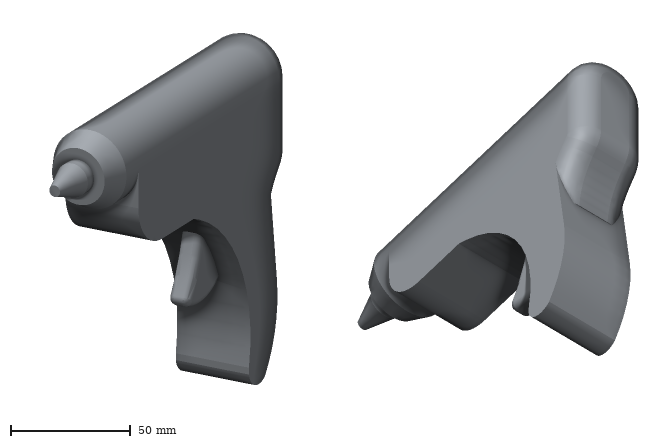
import cadquery as cq
import math

LENGTH = 170.0
WIDTH = 35.0
BARREL_RADIUS = WIDTH / 2
EDGE_ROUND = 10.0

BARREL_END = 140.0
NOSE_END = 150.0
NOSE_RADIUS = 12.5
COLLAR_END = 155.0
COLLAR_RADIUS = 7.5
TIP_RADIUS = 2.5

HOUSING_FRONT = 129.9
HOUSING_BOTTOM = -37.5
HOUSING_CORNER = -HOUSING_BOTTOM - BARREL_RADIUS

REAR_BOTTOM = -32.3
REAR_BEND_RADIUS = 13.1
REAR_BEND_ANGLE = math.radians(39.5)
SLOPE_LENGTH = 4.2
WEB_FOOT = (14.6, -66.8)
WEB_INSIDE = 30.6

GRIP_TOP_REAR = (18.0, -43.0)
GRIP_WAIST = (12.2, -87.9)
GRIP_HEEL = (22.3, -127.2)
GRIP_BOTTOM = (27.4, -129.2)
GRIP_TOE = (36.0, -122.2)
GRIP_FRONT_FOOT = (36.0, -119.2)
FINGER_ARC_MIDDLE = (40.1, -78.4)
FINGER_ARC_TOP = (78.2, -39.5)
BEND_END = 83.0

TRIGGER_WIDTH = 10.0
TRIGGER_ROUND = 3.0
TRIGGER_TIP_ROUND = 3.2
TRIGGER_TIP = (66.6, -84.5)
TRIGGER_HEEL = (37.4, -80.5)
TRIGGER_BOTTOM = (54.7, -87.5)
TRIGGER_FRONT = (58.5, -68.5)
TRIGGER_ROOT = (52.5, -45.0)
TRIGGER_BACK = (27.2, -73.1)


def side_sketch(start):
    plane = cq.Plane(origin=(0, 0, 0), xDir=(0, -1, 0), normal=(-1, 0, 0))
    return cq.Workplane(plane).moveTo(*start)


def make_barrel():
    """Barrel, nose cone, collar and nozzle turned about the barrel axis."""
    profile = (
        side_sketch((0, 0))
        .lineTo(0, BARREL_RADIUS - EDGE_ROUND)
        .radiusArc((EDGE_ROUND, BARREL_RADIUS), EDGE_ROUND)
        .lineTo(BARREL_END, BARREL_RADIUS)
        .lineTo(NOSE_END, NOSE_RADIUS)
        .lineTo(NOSE_END, COLLAR_RADIUS)
        .lineTo(COLLAR_END, COLLAR_RADIUS)
        .lineTo(LENGTH, TIP_RADIUS)
        .lineTo(LENGTH, 0)
        .close()
    )
    return profile.revolve(360, (0, 0), (1, 0))


def make_rear_web():
    """Rear of the housing, with both long rear edges rounded."""
    bend_end = (
        REAR_BEND_RADIUS * (1 - math.cos(REAR_BEND_ANGLE)),
        REAR_BOTTOM - REAR_BEND_RADIUS * math.sin(REAR_BEND_ANGLE),
    )
    slope_end = (
        bend_end[0] + SLOPE_LENGTH * math.sin(REAR_BEND_ANGLE),
        bend_end[1] - SLOPE_LENGTH * math.cos(REAR_BEND_ANGLE),
    )
    web = (
        side_sketch((0, 0))
        .lineTo(0, REAR_BOTTOM)
        .radiusArc(bend_end, -REAR_BEND_RADIUS)
        .lineTo(*slope_end)
        .tangentArcPoint(WEB_FOOT, relative=False)
        .lineTo(WEB_INSIDE, WEB_FOOT[1])
        .lineTo(WEB_INSIDE, 0)
        .close()
        .extrude(WIDTH / 2, both=True)
    )
    rear_edges = web.faces("|X").edges("|Z").edges(">Y")
    return rear_edges.fillet(EDGE_ROUND)


def make_grip():
    """Front of the housing and the flat-sided grip."""
    outline = (
        side_sketch((GRIP_TOP_REAR[0], 0))
        .lineTo(*GRIP_TOP_REAR)
        .lineTo(*GRIP_WAIST)
        .tangentArcPoint(GRIP_HEEL, relative=False)
        .threePointArc(GRIP_BOTTOM, GRIP_TOE)
        .lineTo(*GRIP_FRONT_FOOT)
        .threePointArc(FINGER_ARC_MIDDLE, FINGER_ARC_TOP)
        .tangentArcPoint((BEND_END, HOUSING_BOTTOM), relative=False)
        .lineTo(HOUSING_FRONT - HOUSING_CORNER, HOUSING_BOTTOM)
        .radiusArc((HOUSING_FRONT, -BARREL_RADIUS), -HOUSING_CORNER)
        .lineTo(HOUSING_FRONT, 0)
        .close()
    )
    return outline.extrude(WIDTH / 2, both=True)


def make_trigger():
    """Curved trigger with a rounded rim, rooted inside the grip."""
    blade = (
        side_sketch(TRIGGER_ROOT)
        .threePointArc(TRIGGER_FRONT, TRIGGER_TIP)
        .threePointArc(TRIGGER_BOTTOM, TRIGGER_HEEL)
        .lineTo(*TRIGGER_BACK)
        .close()
        .extrude(TRIGGER_WIDTH / 2, both=True)
    )
    blade = blade.edges("|X").edges("<Y").fillet(TRIGGER_TIP_ROUND)
    return blade.faces("|X").edges().fillet(TRIGGER_ROUND)


result = make_barrel().union(make_rear_web()).union(make_grip()).union(make_trigger())